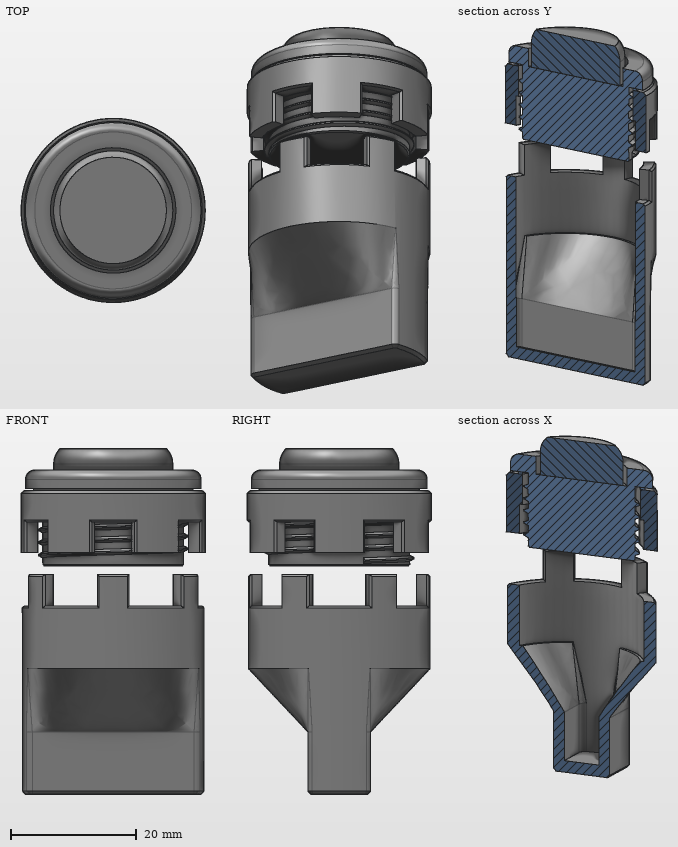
import cadquery as cq
import math

TOOTH_COUNT = 6
TOOTH_PITCH = 360 / TOOTH_COUNT
FIRST_CASTLE_ANGLE = -90
CASTLE_BORE_DIAMETER = 25.0
EDGE_BREAK = 0.35

BEZEL_DIAMETER = 28.0
BEZEL_BOTTOM = 48.7
BEZEL_TOP = 51.7
BEZEL_ROUND = 1.5
BUTTON_RECESS_DIAMETER = 20.0
BARREL_DIAMETER = 22.5
BARREL_BOTTOM = 36.4
BARREL_EDGE_BREAK = 0.2

THREAD_DIAMETER = 23.8
THREAD_PITCH = 2.0
THREAD_START = 37.25
THREAD_START_ANGLE = 20
THREAD_TURNS = 5
THREAD_BASE_WIDTH = 1.1
THREAD_CREST_WIDTH = 0.2
THREAD_ROOT_DEPTH = 0.15

BUTTON_DIAMETER = 19.0
BUTTON_FACE_DIAMETER = 16.95
BUTTON_TOP = 55.1
BUTTON_ROUND_START = 52.6
BUTTON_BOTTOM = BEZEL_BOTTOM

NUT_DIAMETER = 29.35
NUT_BOTTOM = 38.5
NUT_TOP = 48.45
NUT_TOP_CHAMFER = 0.5
NUT_BORE_DIAMETER = 24.0
NUT_SLOT_TOP = 43.35
NUT_SLOT_HALF_ANGLE = 13.6

WASHER_DIAMETER = 25.5

SOCKET_DIAMETER = 29.0
SOCKET_TOP = 35.05
SOCKET_NOTCH_FLOOR = 30.05
SOCKET_TOOTH_HALF_ANGLE = 10.3
TRANSITION_TOP = 20.05
HANDLE_TOP = 10.0
HANDLE_BOTTOM = 0
HANDLE_THICKNESS = 10.05
HANDLE_CORNER_ROUND = 1.0
HANDLE_CHAMFER = 0.5
SHOULDER_HALF_WIDTH = 4.9
SOCKET_WALL = (SOCKET_DIAMETER - CASTLE_BORE_DIAMETER) / 2
CAVITY_ARC_DIAMETER = 24.0
CAVITY_THICKNESS = HANDLE_THICKNESS - 2 * SOCKET_WALL
CAVITY_SHOULDER_HALF_WIDTH = 4.3
CAVITY_FLOOR = HANDLE_BOTTOM + SOCKET_WALL
CORNER_SLIVER_ANGLE = 0.3
END_BULGE = 0.55

OVERCUT = 0.55
TOLERANCE = 0.005


def cylinder(diameter, bottom, top):
    return cq.Workplane("XY").workplane(offset=bottom).circle(diameter / 2).extrude(top - bottom)


def polar(radius, degrees):
    angle = math.radians(degrees)
    return (radius * math.cos(angle), radius * math.sin(angle))


def wedge(center_angle, half_angle, bottom, top):
    """Triangular block with its tip on the axis, reaching past every body."""
    length = NUT_DIAMETER
    half_width = length * math.tan(math.radians(half_angle))
    outline = [(0, 0), (length, -half_width), (length, half_width)]
    block = cq.Workplane("XY").workplane(offset=bottom).polyline(outline).close().extrude(top - bottom)
    return block.rotate((0, 0, 0), (0, 0, 1), center_angle)


def break_castle_edges(body, diameter, low, high):
    """Chamfer the castellated outline, between two heights, where it meets a cylinder."""
    radius = diameter / 2
    outline = []
    for edge in body.edges().vals():
        ends = [edge.startPoint(), edge.endPoint()]
        on_cylinder = all(abs(math.hypot(p.x, p.y) - radius) < TOLERANCE for p in ends)
        below_high = all(p.z < high for p in ends)
        if on_cylinder and below_high and edge.Center().z > low + TOLERANCE:
            outline.append(edge)
    return body.newObject(outline).chamfer(EDGE_BREAK)


def make_thread():
    """Helical ridge of trapezoidal section."""
    barrel_radius = BARREL_DIAMETER / 2
    crest_radius = THREAD_DIAMETER / 2
    inner = barrel_radius - THREAD_ROOT_DEPTH
    height = THREAD_PITCH * THREAD_TURNS
    helix = cq.Wire.makeHelix(THREAD_PITCH, height, barrel_radius, center=cq.Vector(0, 0, THREAD_START))
    ridge = [
        (inner, THREAD_START - THREAD_BASE_WIDTH / 2),
        (crest_radius, THREAD_START - THREAD_CREST_WIDTH / 2),
        (crest_radius, THREAD_START + THREAD_CREST_WIDTH / 2),
        (inner, THREAD_START + THREAD_BASE_WIDTH / 2),
    ]
    thread = cq.Workplane("XZ").polyline(ridge).close().sweep(cq.Workplane(helix), isFrenet=True)
    return thread.rotate((0, 0, 0), (0, 0, 1), THREAD_START_ANGLE)


def make_bezel():
    flange = cylinder(BEZEL_DIAMETER, BEZEL_BOTTOM, BEZEL_TOP).faces(">Z").edges().fillet(BEZEL_ROUND)
    barrel = cylinder(BARREL_DIAMETER, BARREL_BOTTOM, BEZEL_BOTTOM)
    barrel = barrel.faces("<Z").edges().chamfer(BARREL_EDGE_BREAK)
    recess = cylinder(BUTTON_RECESS_DIAMETER, BUTTON_BOTTOM, BEZEL_TOP + OVERCUT)
    return barrel.union(make_thread()).union(flange).cut(recess)


def make_button():
    """Revolved disc whose crown arc is tangent to the side wall."""
    radius = BUTTON_DIAMETER / 2
    face_radius = BUTTON_FACE_DIAMETER / 2
    profile = (
        cq.Workplane("XZ")
        .moveTo(0, BUTTON_BOTTOM)
        .lineTo(radius, BUTTON_BOTTOM)
        .lineTo(radius, BUTTON_ROUND_START)
        .tangentArcPoint((face_radius, BUTTON_TOP), relative=False)
        .lineTo(0, BUTTON_TOP)
        .close()
    )
    return profile.revolve(360, (0, 0, 0), (0, 1, 0))


def make_nut():
    nut = cylinder(NUT_DIAMETER, NUT_BOTTOM, NUT_TOP).faces(">Z").edges().chamfer(NUT_TOP_CHAMFER)
    nut = nut.cut(cylinder(NUT_BORE_DIAMETER, NUT_BOTTOM, NUT_TOP))
    for i in range(TOOTH_COUNT):
        angle = FIRST_CASTLE_ANGLE + i * TOOTH_PITCH
        nut = nut.cut(wedge(angle, NUT_SLOT_HALF_ANGLE, NUT_BOTTOM - OVERCUT, NUT_SLOT_TOP))
    nut = break_castle_edges(nut, NUT_DIAMETER, NUT_BOTTOM, NUT_SLOT_TOP + OVERCUT)
    return nut.cut(cylinder(CASTLE_BORE_DIAMETER, NUT_BOTTOM, NUT_SLOT_TOP))


def make_washer():
    washer = cylinder(WASHER_DIAMETER, NUT_TOP, BEZEL_BOTTOM)
    return washer.cut(cylinder(NUT_BORE_DIAMETER, NUT_TOP, BEZEL_BOTTOM))


def handle_wire(diameter, thickness, height):
    """Flat slab across Y with rounded corners and ends that bulge past the cylinder."""
    radius = diameter / 2
    half = thickness / 2
    fillet = HANDLE_CORNER_ROUND
    center_y = half - fillet
    center_x = math.sqrt((radius - fillet) ** 2 - center_y ** 2)
    end_angle = math.degrees(math.atan2(center_y, center_x))
    bulge = polar(fillet, (90 + end_angle) / 2)
    end_x, end_y = polar(radius, end_angle)
    corner = (center_x + bulge[0], center_y + bulge[1])
    tip = radius + END_BULGE
    return (
        cq.Workplane("XY")
        .workplane(offset=height)
        .moveTo(end_x, -end_y)
        .threePointArc((tip, 0), (end_x, end_y))
        .threePointArc(corner, (center_x, half))
        .lineTo(-center_x, half)
        .threePointArc((-corner[0], corner[1]), (-end_x, end_y))
        .threePointArc((-tip, 0), (-end_x, -end_y))
        .threePointArc((-corner[0], -corner[1]), (-center_x, -half))
        .lineTo(center_x, -half)
        .threePointArc((corner[0], -corner[1]), (end_x, -end_y))
        .close()
        .val()
    )


def shoulder_wire(diameter, arc_diameter, shoulder_half_width, height):
    """Two arcs joined by bulged ends, in the same eight stretches as the handle outline."""
    radius = diameter / 2
    arc_radius = arc_diameter / 2
    tip = radius + END_BULGE
    shoulder = math.degrees(math.asin(shoulder_half_width / radius))
    arc_start = shoulder + CORNER_SLIVER_ANGLE
    wire = cq.Workplane("XY").workplane(offset=height).moveTo(*polar(radius, -shoulder))
    for side in (0, 180):
        wire = (
            wire.threePointArc(polar(tip, side), polar(radius, side + shoulder))
            .lineTo(*polar(arc_radius, side + arc_start))
            .threePointArc(polar(arc_radius, side + 90), polar(arc_radius, side + 180 - arc_start))
            .lineTo(*polar(radius, side + 180 - shoulder))
        )
    return wire.close().val()


def flattened_cylinder(diameter, arc_diameter, thickness, shoulder_half_width, bottom):
    """Flat handle and the ruled blend that carries it up to two wide arcs."""
    lower = handle_wire(diameter, thickness, HANDLE_TOP)
    upper = shoulder_wire(diameter, arc_diameter, shoulder_half_width, TRANSITION_TOP)
    blend = cq.Workplane(cq.Solid.makeLoft([lower, upper], True))
    base = cq.Workplane("XY").add(handle_wire(diameter, thickness, bottom)).toPending()
    handle = base.extrude(HANDLE_TOP - bottom)
    return handle.union(blend).intersect(cylinder(diameter, bottom, TRANSITION_TOP))


def make_cup():
    """Upper ring of the socket, with its teeth."""
    cup = cylinder(SOCKET_DIAMETER, TRANSITION_TOP, SOCKET_TOP)
    cup = cup.cut(cylinder(CASTLE_BORE_DIAMETER, TRANSITION_TOP, SOCKET_TOP))
    notch_half_angle = TOOTH_PITCH / 2 - SOCKET_TOOTH_HALF_ANGLE
    notch_top = SOCKET_TOP + OVERCUT
    for i in range(TOOTH_COUNT):
        angle = FIRST_CASTLE_ANGLE + (i + 0.5) * TOOTH_PITCH
        cup = cup.cut(wedge(angle, notch_half_angle, SOCKET_NOTCH_FLOOR, notch_top))
    return break_castle_edges(cup, SOCKET_DIAMETER, SOCKET_NOTCH_FLOOR - OVERCUT, notch_top)


def make_socket():
    body = flattened_cylinder(
        SOCKET_DIAMETER,
        SOCKET_DIAMETER,
        HANDLE_THICKNESS,
        SHOULDER_HALF_WIDTH,
        HANDLE_BOTTOM,
    )
    body = body.faces("<Z").edges().chamfer(HANDLE_CHAMFER)
    cavity = flattened_cylinder(
        CASTLE_BORE_DIAMETER,
        CAVITY_ARC_DIAMETER,
        CAVITY_THICKNESS,
        CAVITY_SHOULDER_HALF_WIDTH,
        CAVITY_FLOOR,
    )
    return body.union(make_cup()).cut(cavity)


bezel = make_bezel()
button = make_button()
nut = make_nut()
washer = make_washer()
socket = make_socket()

result = cq.Compound.makeCompound(
    [bezel.val(), button.val(), nut.val(), washer.val(), socket.val()]
)